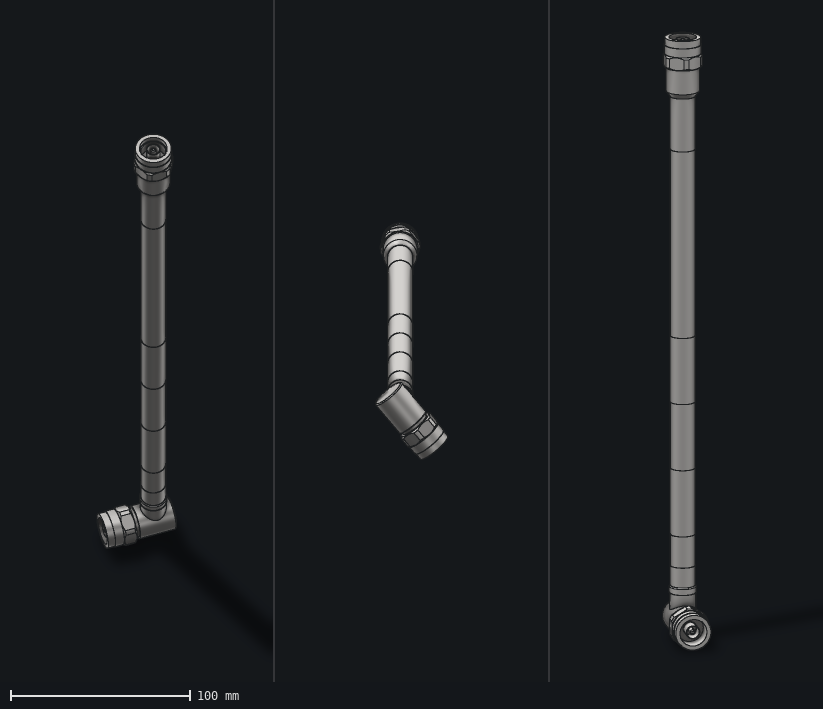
import cadquery as cq


total_height = 347.5

nut_length = 17.0
nut_flats = 20.5
nut_corner_radius = 11.0
nut_hex_length = 7.5
nut_hex_chamfer = 1.0
nut_hex_end_radius = 10.0
nut_band_end = 13.0
nut_band_radius = 10.5
nut_mouth_radius = 10.0
nut_bore_radius = 7.5

socket_floor = 7.0
contact_end_height = 16.0
contact_tube_radius = 3.8
contact_tube_wall = 0.5
pin_radius = 1.5
pin_tip_chamfer = 0.7

cable_radius = 7.0
sleeve_wall = 0.17
sleeve_radius = cable_radius + sleeve_wall
upper_boot_bottom = 283.0
lower_boot_top = 42.5
label_length = 38.2
label_bottoms = [60.5, 137.0]

straight_nut_rear = total_height - nut_length
plug_radius = 9.5
plug_taper_top = 316.7
plug_bottom = 313.5
shield_wall = 0.7
shield_end = 14.0

elbow_axis_height = nut_corner_radius
elbow_radius = 19.0 / 2
elbow_tail = 10.8
elbow_front = 10.8
elbow_end_chamfer = 0.7
elbow_nut_rear = 13.0
spigot_radius = 8.5
neck_ring_radius = 7.5
neck_ring_step = 0.5
neck_radius = neck_ring_radius - neck_ring_step
neck_ring_bottom = 26.8
neck_top = 31.0
neck_ring_chamfer = 0.7


def turned(outline):
    """Solid of revolution about Z from (radius, height) points."""
    return cq.Workplane("XZ").polyline(outline).close().revolve(360, (0, 0), (0, 1))


def tube(outer, inner, bottom, top):
    return turned([(inner, bottom), (outer, bottom), (outer, top), (inner, top)])


def make_nut():
    """Coupling nut with its axis on Z, hex corners on Y, its hex rear at Z = 0 and its mouth up."""
    hexagon = cq.Workplane("XY").polygon(6, nut_flats, circumscribed=True).extrude(nut_hex_length)
    envelope = turned(
        [
            (0, 0),
            (nut_hex_end_radius, 0),
            (nut_corner_radius, nut_hex_chamfer),
            (nut_corner_radius, nut_hex_length - nut_hex_chamfer),
            (nut_hex_end_radius, nut_hex_length),
            (0, nut_hex_length),
        ],
    )
    sleeve = turned(
        [
            (0, nut_hex_length),
            (nut_band_radius, nut_hex_length),
            (nut_band_radius, nut_band_end),
            (nut_mouth_radius, nut_band_end),
            (nut_mouth_radius, nut_length),
            (0, nut_length),
        ],
    )
    bore = turned([(0, 0), (nut_bore_radius, 0), (nut_bore_radius, nut_length), (0, nut_length)])
    return hexagon.intersect(envelope).union(sleeve).cut(bore)


def make_contact_end():
    """Part of a plug body that fills the rear of its nut and carries the contact tube and pin."""
    return turned(
        [
            (0, 0),
            (nut_bore_radius, 0),
            (nut_bore_radius, socket_floor),
            (contact_tube_radius, socket_floor),
            (contact_tube_radius, contact_end_height),
            (contact_tube_radius - contact_tube_wall, contact_end_height),
            (contact_tube_radius - contact_tube_wall, socket_floor),
            (pin_radius, socket_floor),
            (pin_radius, contact_end_height - pin_tip_chamfer),
            (pin_radius - pin_tip_chamfer, contact_end_height),
            (0, contact_end_height),
        ],
    )


def raise_to_straight_plug(body):
    return body.translate((0, 0, straight_nut_rear))


def swing_to_elbow_plug(body):
    """Turn a body that points up so that it points along -Y in front of the elbow."""
    return body.rotate((0, 0, 0), (1, 0, 0), 90).translate((0, -elbow_nut_rear, elbow_axis_height))


def make_straight_plug():
    shell = turned(
        [
            (0, plug_bottom),
            (sleeve_radius, plug_bottom),
            (plug_radius, plug_taper_top),
            (plug_radius, straight_nut_rear),
            (0, straight_nut_rear),
        ],
    )
    shield = tube(nut_bore_radius, nut_bore_radius - shield_wall, socket_floor, shield_end)
    contact_end = make_contact_end().union(shield)
    return shell.union(raise_to_straight_plug(contact_end))


def make_elbow_plug():
    barrel = (
        cq.Workplane("XZ", origin=(0, elbow_tail, elbow_axis_height))
        .circle(elbow_radius)
        .extrude(elbow_tail + elbow_front)
        .faces(">Y")
        .chamfer(elbow_end_chamfer)
    )
    spigot = (
        cq.Workplane("XZ", origin=(0, -elbow_front, elbow_axis_height))
        .circle(spigot_radius)
        .extrude(elbow_nut_rear - elbow_front)
    )
    neck = turned(
        [
            (0, elbow_axis_height),
            (neck_radius, elbow_axis_height),
            (neck_radius, neck_ring_bottom),
            (neck_ring_radius, neck_ring_bottom),
            (neck_ring_radius, neck_top - neck_ring_chamfer),
            (neck_ring_radius - neck_ring_chamfer, neck_top),
            (0, neck_top),
        ],
    )
    contact_end = swing_to_elbow_plug(make_contact_end())
    return barrel.union(spigot).union(neck).union(contact_end)


def make_cable():
    return turned([(0, neck_top), (cable_radius, neck_top), (cable_radius, plug_bottom), (0, plug_bottom)])


def make_sleeve(bottom, top):
    """Boot or label: a thin tube closely around the cable."""
    return tube(sleeve_radius, cable_radius, bottom, top)


straight_nut = raise_to_straight_plug(make_nut())
elbow_nut = swing_to_elbow_plug(make_nut())
straight_plug = make_straight_plug()
elbow_plug = make_elbow_plug()
cable = make_cable()
upper_boot = make_sleeve(upper_boot_bottom, plug_bottom)
lower_boot = make_sleeve(neck_top, lower_boot_top)
labels = [make_sleeve(bottom, bottom + label_length) for bottom in label_bottoms]

result = cq.Compound.makeCompound(
    [
        straight_nut.val(),
        elbow_nut.val(),
        straight_plug.val(),
        elbow_plug.val(),
        cable.val(),
        upper_boot.val(),
        lower_boot.val(),
        *[label.val() for label in labels],
    ]
)